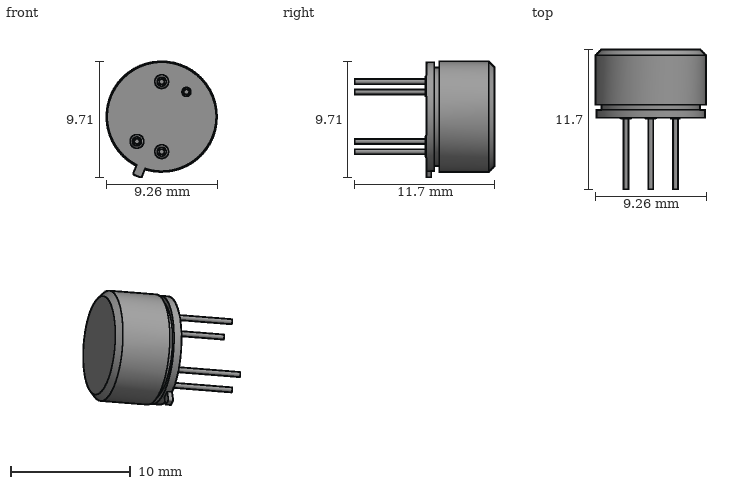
import cadquery as cq
import math


can_radius = 4.63
flange_radius = 4.55
neck_radius = 4.13
flange_thickness = 0.67
neck_length = 0.41
housing_length = 5.72
can_chamfer = 0.5

tab_angle = -112.5
tab_width = 0.8
tab_reach = 5.38
tab_thickness = 0.43
tab_corner_radius = 0.15

total_length = 11.7
pin_length = total_length - housing_length
pin_radius = 0.22
pin_circle_radius = 2.92
bead_pin_angles = [90, 225, 270]
ground_pin_angle = 45
collar_height = 0.1
collar_radius = 0.37
bead_foot_radius = 0.57


def pin_position(angle):
    """Centre (x, z) of the pin at the given angle on the pin circle."""
    return (
        pin_circle_radius * math.cos(math.radians(angle)),
        pin_circle_radius * math.sin(math.radians(angle)),
    )


def cylinder(radius, start_y, length):
    """Cylinder on the can axis, running towards +Y."""
    return cq.Workplane("XZ", origin=(0, start_y, 0)).circle(radius).extrude(-length)


def make_tab():
    """Radial tab, flush with the flange face, with its two outer corners rounded."""
    tab = (
        cq.Workplane("XY")
        .box(tab_reach, tab_thickness, tab_width, centered=(False, False, True))
        .edges(">X and |Y")
        .fillet(tab_corner_radius)
    )
    return tab.rotate((0, 0, 0), (0, 1, 0), -tab_angle)


def make_housing():
    """Flange with its tab, narrow neck, and can with a chamfered closed end."""
    can_start = flange_thickness + neck_length
    flange = cylinder(flange_radius, 0, flange_thickness)
    neck = cylinder(neck_radius, flange_thickness, neck_length)
    can = cylinder(can_radius, can_start, housing_length - can_start)
    can = can.faces(">Y").chamfer(can_chamfer)
    return flange.union(neck).union(can).union(make_tab())


def make_pin(angle):
    """Round pin standing on the flange face."""
    x, z = pin_position(angle)
    return cq.Workplane("XZ", origin=(x, 0, z)).circle(pin_radius).extrude(pin_length)


def make_bead(angle):
    """Bead around a pin, with a concave side that runs out tangent to the flange face."""
    x, z = pin_position(angle)
    spread = bead_foot_radius - collar_radius
    side_radius = (spread**2 + collar_height**2) / (2 * collar_height)
    half_sweep = math.atan2(collar_height, spread)
    arc_middle = (
        bead_foot_radius - side_radius * math.sin(half_sweep),
        -side_radius * (1 - math.cos(half_sweep)),
    )
    return (
        cq.Workplane("XY")
        .moveTo(pin_radius, 0)
        .lineTo(bead_foot_radius, 0)
        .threePointArc(arc_middle, (collar_radius, -collar_height))
        .lineTo(pin_radius, -collar_height)
        .close()
        .revolve(360, (0, 0, 0), (0, 1, 0))
        .translate((x, 0, z))
    )


def make_ground_collar(angle):
    """Plain straight-sided ring around the ground pin."""
    x, z = pin_position(angle)
    return (
        cq.Workplane("XZ", origin=(x, 0, z))
        .circle(collar_radius)
        .circle(pin_radius)
        .extrude(collar_height)
    )


housing = make_housing()
pins = [make_pin(angle) for angle in [*bead_pin_angles, ground_pin_angle]]
beads = [make_bead(angle) for angle in bead_pin_angles]
ground_collar = make_ground_collar(ground_pin_angle)

result = cq.Compound.makeCompound(
    [
        housing.val(),
        *[pin.val() for pin in pins],
        *[bead.val() for bead in beads],
        ground_collar.val(),
    ]
)